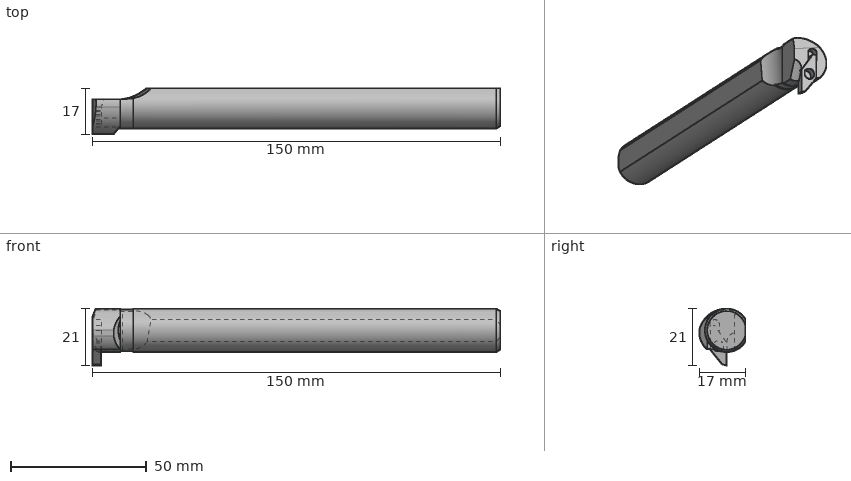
import cadquery as cq
import math

LENGTH = 150.0
SHANK_DIAMETER = 16.0
SHANK_RADIUS = SHANK_DIAMETER / 2
SHANK_FLAT_Y = 6.9
END_CHAMFER_LENGTH = 1.5
END_CHAMFER_DEPTH = 0.9

NECK_RELIEF = 0.3
NECK_RADIUS = SHANK_RADIUS - NECK_RELIEF
NECK_END = 15.0
HEAD_LENGTH = 10.2
OVERALL_Y = 17.0
HEAD_SIDE_Y = SHANK_FLAT_Y - OVERALL_Y
HEAD_SIDE_TOP = 0.3
HEAD_SIDE_BOTTOM = -2.0
HEAD_BOTTOM_Z = -6.9
HEAD_BOTTOM_Y = -7.4
HEAD_LOWER_BULGE = -0.5
HEAD_CHAMFER_START = 7.8
HEAD_CHAMFER_SLOPE = 1.2

BACK_Y = 2.8
SCOOP_START = 11.0
SCOOP_RADIUS = 13.5
SCOOP_TILT = 10.0

FACE_EDGE_Z = 3.8
FACE_EDGE_TILT = 10.0
FACE_SLOPE = 17.0

GULLET_RADIUS = 3.5
GULLET_Y = GULLET_RADIUS
GULLET_Z = -4.2
GULLET_DROP = 60.0

OVERALL_HEIGHT = 21.0
INSERT_THICKNESS = 3.2
INSERT_WIDTH = 6.0
INSERT_TOP_Z = 1.8
INSERT_TOP_WIDTH = 1.5
INSERT_SHOULDER_Z = -4.5
INSERT_HEEL_Z = -7.2
TIP_Z = SHANK_RADIUS - OVERALL_HEIGHT
TIP_WIDTH = 1.6
TIP_RISE = 0.5
HOLE_DIAMETER = 3.9
HOLE_Y = -3.2
HOLE_Z = -5.7

RELIEF_WIDTH = 3.5
RELIEF_Y = -4.5
RELIEF_TOP_Z = 4.0

CUT_SIZE = 4 * SHANK_DIAMETER


def cylinder_x(radius, start, end):
    """Cylinder along X on the shank axis."""
    return cq.Workplane("YZ").workplane(offset=start).circle(radius).extrude(end - start)


def make_shank():
    """Round bar with an off-centre neck, a conical end and a flat along +Y."""
    profile = (
        cq.Workplane("XY")
        .polyline([
            (NECK_END, 0),
            (NECK_END, SHANK_RADIUS),
            (LENGTH - END_CHAMFER_LENGTH, SHANK_RADIUS),
            (LENGTH, SHANK_RADIUS - END_CHAMFER_DEPTH),
            (LENGTH, 0),
        ])
        .close()
    )
    bar = profile.revolve(360, (0, 0, 0), (1, 0, 0))
    neck = cylinder_x(NECK_RADIUS, HEAD_LENGTH, NECK_END).translate((0, -NECK_RELIEF, 0))
    bar = bar.union(neck).union(cylinder_x(SHANK_RADIUS, 0, HEAD_LENGTH))
    beyond_flat = cq.Workplane("XY").box(LENGTH, CUT_SIZE, CUT_SIZE, centered=(False, False, True))
    return bar.cut(beyond_flat.translate((0, SHANK_FLAT_Y, 0)))


def make_head_side():
    """Head bulge towards -Y, bevelled back to the neck."""
    head_drop = SHANK_RADIUS - HEAD_SIDE_TOP
    head_radius = (HEAD_SIDE_Y**2 + head_drop**2) / (2 * head_drop)
    bulge = (
        cq.Workplane("YZ")
        .moveTo(0, 0)
        .lineTo(0, SHANK_RADIUS)
        .radiusArc((HEAD_SIDE_Y, HEAD_SIDE_TOP), -head_radius)
        .lineTo(HEAD_SIDE_Y, HEAD_SIDE_BOTTOM)
        .sagittaArc((HEAD_BOTTOM_Y, HEAD_BOTTOM_Z), HEAD_LOWER_BULGE)
        .lineTo(0, HEAD_BOTTOM_Z)
        .close()
        .extrude(HEAD_LENGTH)
    )
    bevel_length = HEAD_LENGTH - HEAD_CHAMFER_START
    bevel = (
        cq.Workplane("XY")
        .polyline([
            (HEAD_CHAMFER_START, HEAD_SIDE_Y),
            (HEAD_LENGTH, HEAD_SIDE_Y),
            (HEAD_LENGTH, HEAD_SIDE_Y + bevel_length * HEAD_CHAMFER_SLOPE),
        ])
        .close()
        .extrude(CUT_SIZE, both=True)
    )
    return bulge.cut(bevel)


def make_back_scoop():
    """Cutter for the flat back of the head and its tilted round run-out."""
    straight = cq.Workplane("XY").box(SCOOP_START, CUT_SIZE, CUT_SIZE, centered=(False, False, True))
    runout = cq.Workplane("XY").circle(SCOOP_RADIUS).extrude(CUT_SIZE, both=True)
    runout = runout.rotate((0, 0, 0), (0, 1, 0), SCOOP_TILT)
    runout = runout.translate((SCOOP_START, BACK_Y + SCOOP_RADIUS, 0))
    return straight.translate((0, BACK_Y, 0)).union(runout)


def make_face_slope():
    """Cutter for the upper front face, which leans back from a sloping edge."""
    block = cq.Workplane("XY").box(CUT_SIZE, CUT_SIZE, CUT_SIZE)
    block = block.translate((-CUT_SIZE / 2, 0, 0))
    block = block.rotate((0, 0, 0), (0, 1, 0), FACE_SLOPE)
    block = block.rotate((0, 0, 0), (1, 0, 0), -FACE_EDGE_TILT)
    return block.translate((0, 0, FACE_EDGE_Z))


def make_gullet():
    """Round-topped slot cutter that runs down and out through the head."""
    drop = math.tan(math.radians(GULLET_DROP)) * HEAD_LENGTH
    path = cq.Vector(HEAD_LENGTH, 0, -drop)
    outline = (
        cq.Workplane("YZ")
        .moveTo(GULLET_Y - GULLET_RADIUS, -SHANK_DIAMETER)
        .lineTo(GULLET_Y - GULLET_RADIUS, GULLET_Z)
        .threePointArc((GULLET_Y, GULLET_Z + GULLET_RADIUS), (GULLET_Y + GULLET_RADIUS, GULLET_Z))
        .lineTo(GULLET_Y + GULLET_RADIUS, -SHANK_DIAMETER)
        .close()
        .wire()
        .val()
    )
    return cq.Workplane(obj=cq.Solid.extrudeLinear(outline, [], path))


def make_insert_blank():
    """Insert outline without its hole; also the shape of its pocket."""
    return (
        cq.Workplane("YZ")
        .polyline([
            (0, TIP_Z),
            (-TIP_WIDTH, TIP_Z + TIP_RISE),
            (-INSERT_WIDTH, INSERT_HEEL_Z),
            (-INSERT_WIDTH, INSERT_TOP_Z),
            (-INSERT_WIDTH + INSERT_TOP_WIDTH, INSERT_TOP_Z),
            (0, INSERT_SHOULDER_Z),
        ])
        .close()
        .extrude(INSERT_THICKNESS)
    )


def make_relief():
    """Cutter for the round-topped recess above the insert."""
    radius = RELIEF_WIDTH / 2
    centre_z = RELIEF_TOP_Z - radius
    top = cq.Workplane("YZ").center(RELIEF_Y, centre_z).circle(radius).extrude(INSERT_THICKNESS)
    leg = (
        cq.Workplane("YZ")
        .center(RELIEF_Y, centre_z - centre_z / 2)
        .rect(RELIEF_WIDTH, centre_z)
        .extrude(INSERT_THICKNESS)
    )
    return top.union(leg)


def make_holder():
    holder = make_shank().union(make_head_side())
    holder = holder.cut(make_back_scoop())
    holder = holder.cut(make_face_slope())
    holder = holder.cut(make_gullet())
    holder = holder.cut(make_relief())
    return holder.cut(make_insert_blank())


def make_insert():
    """Cutting insert with a through hole."""
    hole = (
        cq.Workplane("YZ").center(HOLE_Y, HOLE_Z).circle(HOLE_DIAMETER / 2).extrude(INSERT_THICKNESS)
    )
    return make_insert_blank().cut(hole)


holder = make_holder()
insert = make_insert()

result = cq.Compound.makeCompound([holder.solids().val(), insert.solids().val()])